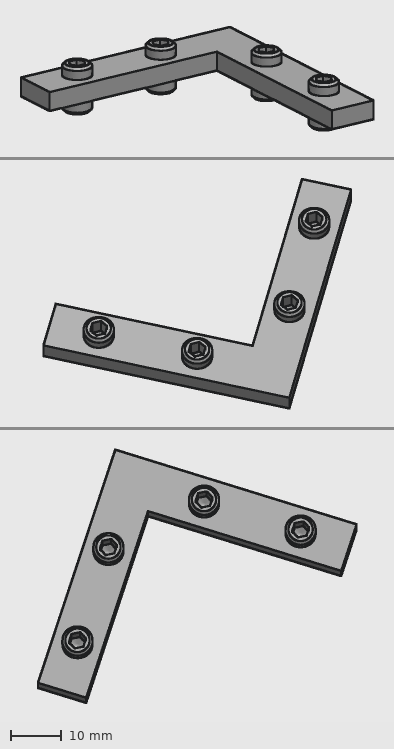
import cadquery as cq
import math

arm_length = 50.0
arm_width = 10.0
plate_thickness = 4.0

screw_diameter = 6.0
screw_length = 10.0
screw_projection = 2.5
screw_chamfer = 0.6
screw_distances = (20.0, 40.0)

socket_across_flats = 3.0
socket_depth = 3.5
socket_cone_angle = 120.0

screw_radius = screw_diameter / 2
screw_top = plate_thickness + screw_projection
arm_centre = arm_width / 2

screw_positions = []
for distance in screw_distances:
    screw_positions.append((distance, arm_length - arm_centre))
    screw_positions.append((arm_centre, arm_length - distance))


def make_bracket():
    """L-shaped plate with a through hole for each screw."""
    outline = [
        (0, 0),
        (arm_width, 0),
        (arm_width, arm_length - arm_width),
        (arm_length, arm_length - arm_width),
        (arm_length, arm_length),
        (0, arm_length),
    ]
    plate = cq.Workplane("XY").polyline(outline).close().extrude(plate_thickness)
    holes = cq.Workplane("XY").pushPoints(screw_positions).circle(screw_radius).extrude(plate_thickness)
    return plate.cut(holes)


def make_socket():
    """Solid shape of the socket: a hexagon ending in a cone point."""
    corner_radius = socket_across_flats / math.sqrt(3)
    cone_depth = corner_radius / math.tan(math.radians(socket_cone_angle / 2))
    full_depth = socket_depth + cone_depth
    hexagon = (
        cq.Workplane("XY")
        .polygon(6, 2 * corner_radius)
        .extrude(-full_depth)
        .rotate((0, 0, 0), (0, 0, 1), 90)
    )
    pointed_round = (
        cq.Workplane("XZ")
        .polyline([(0, 0), (corner_radius, 0), (corner_radius, -socket_depth), (0, -full_depth)])
        .close()
        .revolve(360, (0, 0, 0), (0, 1, 0))
    )
    return hexagon.intersect(pointed_round)


def make_screw(x, y):
    """Set screw chamfered at both ends, with a hexagonal socket in its top."""
    blank = cq.Workplane("XY").circle(screw_radius).extrude(-screw_length)
    blank = blank.faces("<Z or >Z").chamfer(screw_chamfer)
    return blank.cut(make_socket()).translate((x, y, screw_top))


bracket = make_bracket()
screws = [make_screw(x, y).val() for x, y in screw_positions]

result = cq.Compound.makeCompound([bracket.val(), *screws])